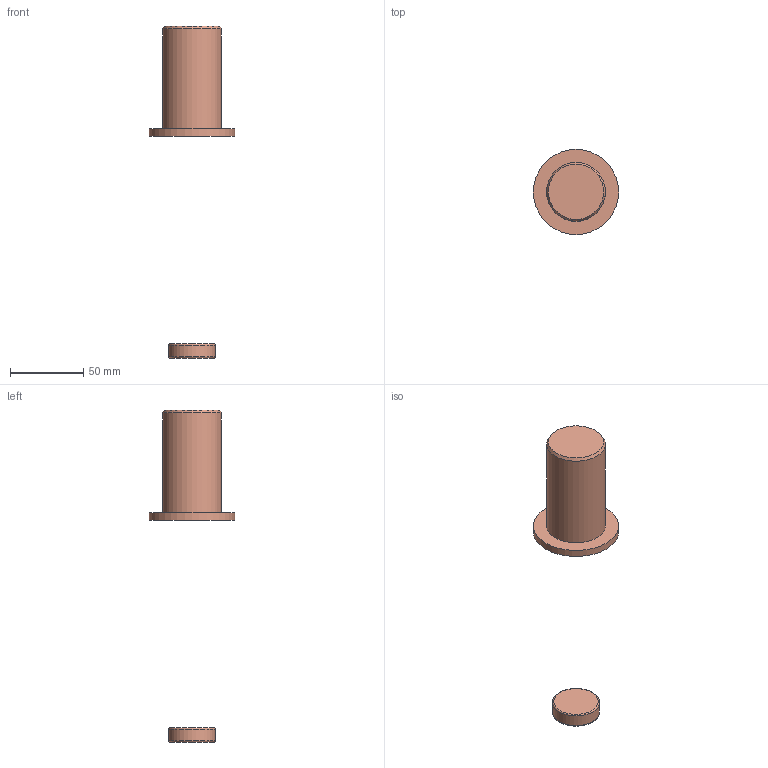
import cadquery as cq
import math

total_height = 226.0

flange_diameter = 58.0
flange_thickness = 5.0
shank_diameter = 40.0
pin_height = 75.0
shank_radius = shank_diameter / 2
flange_radius = flange_diameter / 2

lead_in_length = 2.0
lead_in_angle = 30.0
lead_in_width = lead_in_length * math.tan(math.radians(lead_in_angle))

disc_diameter = 32.0
disc_thickness = 9.6
disc_rim_fillet = 0.8

pin_base_z = total_height - pin_height


def make_pin():
    """Flange and shank with a tapered lead-in, revolved around Z."""
    half_profile = [
        (0, 0),
        (flange_radius, 0),
        (flange_radius, flange_thickness),
        (shank_radius, flange_thickness),
        (shank_radius, pin_height - lead_in_length),
        (shank_radius - lead_in_width, pin_height),
        (0, pin_height),
    ]
    return (
        cq.Workplane("XZ")
        .polyline(half_profile)
        .close()
        .revolve(360, (0, 0), (0, 1))
        .translate((0, 0, pin_base_z))
    )


def make_disc():
    """Flat disc with both rims rounded, its underside at Z = 0."""
    return (
        cq.Workplane("XY")
        .circle(disc_diameter / 2)
        .extrude(disc_thickness)
        .faces("<Z or >Z")
        .edges()
        .fillet(disc_rim_fillet)
    )


pin = make_pin()
disc = make_disc()

result = cq.Compound.makeCompound([pin.val(), disc.val()])